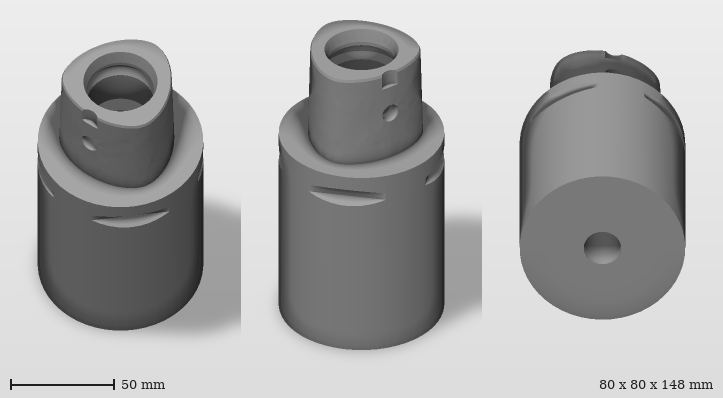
import cadquery as cq
import math

total_height = 148.0
body_diameter = 80.0
body_radius = body_diameter / 2
shank_height = 48.0
body_height = total_height - shank_height

shank_mean_radius = 27.8
lobe_eccentricity = 1.9
lobe_count = 3
lobe_steps = 24
shank_taper = 1 / 20
rim_chamfer_height = 1.3
rim_chamfer_width = 0.6

mouth_radius = 17.9
bore_radius = 16.1
mouth_depth = 6.4
lip_depth = 8.3
undercut_radius = 19.1
undercut_depth = 13.5
bore_depth = 35.5
through_hole_radius = 9.0

notch_radius = 5.9
notch_depth = 8.0
notch_bottom_y = -22.3
pin_hole_radius = 4.6
pin_hole_drop = 23.0
pin_hole_floor_y = -18.5

groove_count = 4
groove_drop = 12.0
groove_floor_distance = 35.2
groove_floor_width = 3.7
groove_flank_angle = 30.0


def lobed_wire(mean_radius, z):
    """Closed three-lobed curve of constant width 2 * mean_radius."""

    def point(angle):
        support = mean_radius + lobe_eccentricity * math.cos(lobe_count * angle)
        slope = -lobe_count * lobe_eccentricity * math.sin(lobe_count * angle)
        along_lobe = support * math.cos(angle) - slope * math.sin(angle)
        across_lobe = support * math.sin(angle) + slope * math.cos(angle)
        return (-across_lobe, along_lobe, z)

    lobe_angle = 2 * math.pi / lobe_count
    lobe_edges = []
    for index in range(lobe_count):
        start = (index - 0.5) * lobe_angle
        points = [cq.Vector(*point(start + lobe_angle * i / lobe_steps)) for i in range(lobe_steps + 1)]
        tangents = [cq.Vector(-math.cos(a), -math.sin(a), 0) for a in (start, start + lobe_angle)]
        lobe_edges.append(cq.Edge.makeSpline(points, tangents))
    return cq.Wire.assembleEdges(lobe_edges)


def lobed_frustum(bottom_radius, bottom_z, top_radius, top_z):
    sections = [lobed_wire(bottom_radius, bottom_z), lobed_wire(top_radius, top_z)]
    return cq.Workplane(cq.Solid.makeLoft(sections, True))


def make_shank():
    chamfer_z = total_height - rim_chamfer_height
    upper_radius = shank_mean_radius - (chamfer_z - body_height) * shank_taper / 2
    rim_radius = upper_radius - rim_chamfer_width
    taper = lobed_frustum(shank_mean_radius, body_height, upper_radius, chamfer_z)
    rim = lobed_frustum(upper_radius, chamfer_z, rim_radius, total_height)
    return taper.union(rim)


def make_bore():
    flank_depth = undercut_depth + undercut_radius - bore_radius
    floor_z = total_height - bore_depth
    profile = [
        (0, 0),
        (through_hole_radius, 0),
        (through_hole_radius, floor_z),
        (bore_radius, floor_z),
        (bore_radius, total_height - flank_depth),
        (undercut_radius, total_height - undercut_depth),
        (undercut_radius, total_height - lip_depth),
        (bore_radius, total_height - lip_depth),
        (bore_radius, total_height - mouth_depth),
        (mouth_radius, total_height),
        (0, total_height),
    ]
    return cq.Workplane("XZ").polyline(profile).close().revolve(360, (0, 0), (0, 1))


def make_notch():
    """Vertical half-round slot, open towards -Y and at the top."""
    notch_center_y = notch_bottom_y - notch_radius
    return (
        cq.Workplane("XY", origin=(0, notch_center_y, total_height - notch_depth))
        .moveTo(-notch_radius, 0)
        .threePointArc((0, notch_radius), (notch_radius, 0))
        .lineTo(notch_radius, -notch_radius)
        .lineTo(-notch_radius, -notch_radius)
        .close()
        .extrude(notch_depth)
    )


def make_pin_hole():
    """Blind radial hole with a flat floor."""
    hole_z = total_height - pin_hole_drop
    return (
        cq.Workplane("XZ", origin=(0, pin_hole_floor_y, hole_z))
        .circle(pin_hole_radius)
        .extrude(body_radius + pin_hole_floor_y)
    )


def make_groove(angle):
    """Straight trapezoidal groove, widening outwards from a flat floor."""
    center_z = body_height - groove_drop
    flank_rise = (body_radius - groove_floor_distance) * math.tan(math.radians(groove_flank_angle))
    inner_half = groove_floor_width / 2
    outer_half = inner_half + flank_rise
    profile = [
        (groove_floor_distance, center_z - inner_half),
        (body_radius, center_z - outer_half),
        (body_radius, center_z + outer_half),
        (groove_floor_distance, center_z + inner_half),
    ]
    groove = cq.Workplane("XZ").polyline(profile).close().extrude(body_radius, both=True)
    return groove.rotate((0, 0, 0), (0, 0, 1), angle)


body = cq.Workplane("XY").circle(body_radius).extrude(body_height)
result = body.union(make_shank()).cut(make_bore()).cut(make_notch()).cut(make_pin_hole())

groove_spacing = 360 / groove_count
for index in range(groove_count):
    result = result.cut(make_groove(groove_spacing * (index + 0.5)))